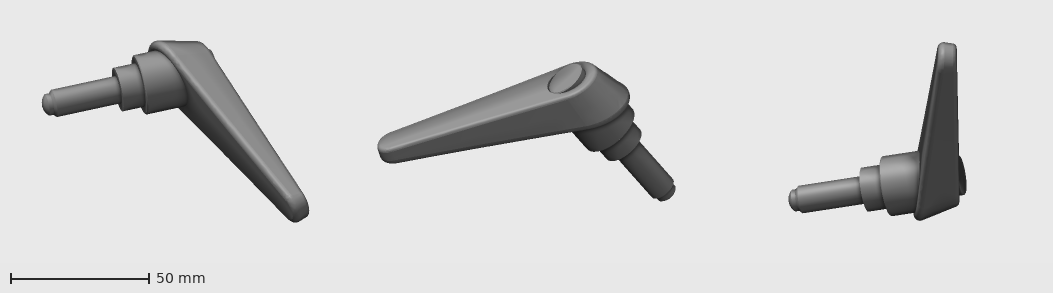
import cadquery as cq
import math


ARM_TOP_Y = 35.1
ARM_TOP_ANGLE = 13.5
ARM_BOTTOM_Y = 19.2
ARM_BOTTOM_ANGLE = 20.0
ARM_TOP_FILLET = 1.5
ARM_BOTTOM_FILLET = 2.0

HUB_RADIUS = 18.5
HUB_DRAFT = 13.0

TIP_Y = 44.7
TIP_X = 68.45
TIP_RADIUS = 6.8
TIP_LEAN = 12.0
TIP_DRAFT = 10.0

BLANK_LOW_Y = 10.6
BLANK_HIGH_Y = 54.9
WEDGE_LEFT_X = -26.6
WEDGE_RIGHT_X = 97.4

BOSS_RADIUS = 11.0
BOSS_BOTTOM_Y = 8.1
BOSS_CHAMFER = 0.35

SHOULDER_RADIUS = 8.1
SHANK_RADIUS = 7.35
SHANK_TOP_Y = 36.1
SHANK_CHAMFER = 0.35
STUD_RADIUS = 5.05
STUD_LENGTH = 25.0
POINT_RADIUS = 4.0
POINT_LENGTH = 1.6
DOME_HEIGHT = 1.8


def tangent(degrees):
    return math.tan(math.radians(degrees))


def arm_top_y(x):
    return ARM_TOP_Y + x * tangent(ARM_TOP_ANGLE)


def arm_bottom_y(x):
    return ARM_BOTTOM_Y + x * tangent(ARM_BOTTOM_ANGLE)


def arm_outline(y):
    """Outline of the arm at height y: hub and tip circles joined by their common tangents."""
    hub_radius = HUB_RADIUS - y * tangent(HUB_DRAFT)
    rise = y - TIP_Y
    tip_x = TIP_X - rise * tangent(TIP_LEAN)
    tip_radius = TIP_RADIUS - rise * tangent(TIP_DRAFT)
    side_sine = (hub_radius - tip_radius) / tip_x
    side_cosine = math.sqrt(1 - side_sine**2)
    hub_seam = (hub_radius * side_sine, hub_radius * side_cosine)
    tip_seam = (tip_x + tip_radius * side_sine, tip_radius * side_cosine)
    plane = cq.Plane(origin=(0, y, 0), xDir=(1, 0, 0), normal=(0, -1, 0))
    return (
        cq.Workplane(plane)
        .moveTo(*hub_seam)
        .threePointArc((-hub_radius, 0), (hub_seam[0], -hub_seam[1]))
        .lineTo(tip_seam[0], -tip_seam[1])
        .threePointArc((tip_x + tip_radius, 0), tip_seam)
        .close()
        .val()
    )


def y_cylinder(radius, y_start, y_end):
    """Cylinder on the Y axis between two heights."""
    plane = cq.Plane(origin=(0, y_start, 0), xDir=(1, 0, 0), normal=(0, 1, 0))
    return cq.Workplane(plane).circle(radius).extrude(y_end - y_start)


def sloped_face_rim(body, slope_angle, side):
    """Edges of the sloping face that looks up (side = 1) or down (side = -1)."""
    slope = math.radians(slope_angle)
    normal = cq.Vector(-side * math.sin(slope), side * math.cos(slope), 0)
    return body.faces(cq.DirectionSelector(normal)).edges()


def make_arm():
    """Tapered arm trimmed by its two sloping faces, with their rims rounded."""
    blank = cq.Solid.makeLoft([arm_outline(BLANK_LOW_Y), arm_outline(BLANK_HIGH_Y)], True)
    wedge = (
        cq.Workplane("XY")
        .polyline([
            (WEDGE_LEFT_X, arm_bottom_y(WEDGE_LEFT_X)),
            (WEDGE_RIGHT_X, arm_bottom_y(WEDGE_RIGHT_X)),
            (WEDGE_RIGHT_X, arm_top_y(WEDGE_RIGHT_X)),
            (WEDGE_LEFT_X, arm_top_y(WEDGE_LEFT_X)),
        ])
        .close()
        .extrude(HUB_RADIUS, both=True)
    )
    arm = wedge.intersect(cq.Workplane(blank))
    arm = sloped_face_rim(arm, ARM_TOP_ANGLE, 1).fillet(ARM_TOP_FILLET)
    return sloped_face_rim(arm, ARM_BOTTOM_ANGLE, -1).fillet(ARM_BOTTOM_FILLET)


def make_lever():
    """Arm and boss in one piece, bored through for the insert's shank."""
    boss_top_y = (arm_bottom_y(BOSS_RADIUS) + arm_top_y(-BOSS_RADIUS)) / 2
    boss = y_cylinder(BOSS_RADIUS, BOSS_BOTTOM_Y, boss_top_y).faces("<Y").chamfer(BOSS_CHAMFER)
    bore = y_cylinder(SHANK_RADIUS, BOSS_BOTTOM_Y, BLANK_HIGH_Y)
    return make_arm().union(boss).cut(bore).solids()


def make_insert():
    """Turned insert: shank in the lever, shoulder under the boss, and stud with a domed point."""
    stud_end_y = -STUD_LENGTH
    point_end_y = stud_end_y - POINT_LENGTH
    dome_y = point_end_y - DOME_HEIGHT
    dome_radius = (POINT_RADIUS**2 + DOME_HEIGHT**2) / (2 * DOME_HEIGHT)
    half_dome_angle = math.asin(POINT_RADIUS / dome_radius) / 2
    dome_middle = (
        dome_radius * math.sin(half_dome_angle),
        dome_y + dome_radius * (1 - math.cos(half_dome_angle)),
    )
    return (
        cq.Workplane("XY")
        .moveTo(0, SHANK_TOP_Y)
        .lineTo(SHANK_RADIUS - SHANK_CHAMFER, SHANK_TOP_Y)
        .lineTo(SHANK_RADIUS, SHANK_TOP_Y - SHANK_CHAMFER)
        .lineTo(SHANK_RADIUS, BOSS_BOTTOM_Y)
        .lineTo(SHOULDER_RADIUS, BOSS_BOTTOM_Y)
        .lineTo(SHOULDER_RADIUS, 0)
        .lineTo(STUD_RADIUS, 0)
        .lineTo(STUD_RADIUS, stud_end_y + STUD_RADIUS - POINT_RADIUS)
        .lineTo(POINT_RADIUS, stud_end_y)
        .lineTo(POINT_RADIUS, point_end_y)
        .threePointArc(dome_middle, (0, dome_y))
        .close()
        .revolve(360, (0, 0, 0), (0, 1, 0))
    )


lever = make_lever()
insert = make_insert()

result = cq.Compound.makeCompound([lever.val(), insert.val()])